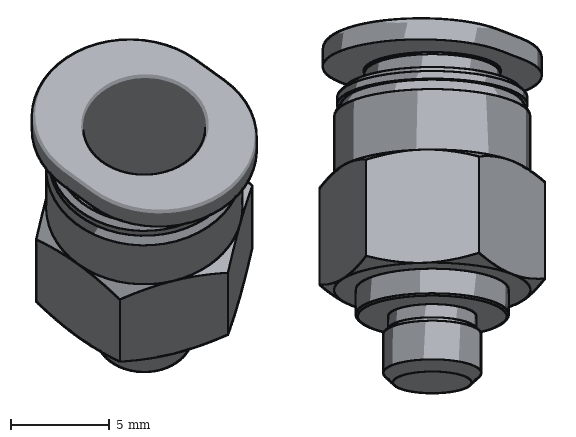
import cadquery as cq
import math

THREAD_TIP_CHAMFER = 0.5
THREAD_TOP = 2.8
COLLAR_BOTTOM = 3.5
HEX_BOTTOM = 4.9
HEX_HEIGHT = 6.0
HEX_TOP = HEX_BOTTOM + HEX_HEIGHT
BODY_TOP = 14.1
RING_BOTTOM = 14.7
RING_TOP = 15.4
FLANGE_BOTTOM = 16.5
FLANGE_THICKNESS = 1.2
TOTAL_HEIGHT = FLANGE_BOTTOM + FLANGE_THICKNESS

THREAD_RADIUS = 2.5
THREAD_NECK_RADIUS = 2.25
COLLAR_RADIUS = 3.9
BODY_RADIUS = 5.0
BODY_TAPER_RADIUS = 4.65
RING_RADIUS = 4.85
SLEEVE_RADIUS = 3.45

COLLAR_CHAMFER = 0.1
RING_CHAMFER = 0.3
SLEEVE_FLARE_HEIGHT = 0.1
SLEEVE_FLARE = 0.05
FLANGE_FILLET = 0.3

HEX_FLATS = 2 * BODY_RADIUS
HEX_CORNERS = HEX_FLATS / math.cos(math.radians(30))
HEX_CHAMFER_ANGLE = math.radians(30)

FLANGE_LENGTH = 12.0
FLANGE_WIDTH = 2 * BODY_RADIUS
BORE_RADIUS = 3.1
BORE_DEPTH = 9.8


def revolve_profile(points):
    """Revolve a closed (radius, height) outline about the Z axis."""
    return cq.Workplane("XZ").polyline(points).close().revolve(360, (0, 0), (0, 1))


def make_turned_body():
    """Threaded stud, collar, body, ring and sleeve as one revolved solid."""
    neck_step = THREAD_RADIUS - THREAD_NECK_RADIUS
    return revolve_profile([
        (0, 0),
        (THREAD_RADIUS - THREAD_TIP_CHAMFER, 0),
        (THREAD_RADIUS, THREAD_TIP_CHAMFER),
        (THREAD_RADIUS, THREAD_TOP - neck_step),
        (THREAD_NECK_RADIUS, THREAD_TOP),
        (THREAD_NECK_RADIUS, COLLAR_BOTTOM),
        (COLLAR_RADIUS - COLLAR_CHAMFER, COLLAR_BOTTOM),
        (COLLAR_RADIUS, COLLAR_BOTTOM + COLLAR_CHAMFER),
        (COLLAR_RADIUS, HEX_BOTTOM),
        (BODY_RADIUS, HEX_BOTTOM),
        (BODY_RADIUS, BODY_TOP),
        (BODY_TAPER_RADIUS, RING_BOTTOM),
        (RING_RADIUS, RING_BOTTOM),
        (RING_RADIUS, RING_TOP - RING_CHAMFER),
        (RING_RADIUS - RING_CHAMFER, RING_TOP),
        (SLEEVE_RADIUS, RING_TOP),
        (SLEEVE_RADIUS, FLANGE_BOTTOM - SLEEVE_FLARE_HEIGHT),
        (SLEEVE_RADIUS + SLEEVE_FLARE, FLANGE_BOTTOM),
        (0, FLANGE_BOTTOM),
    ])


def make_hexagon():
    """Hexagonal wrench section with conically chamfered corners at both ends."""
    corner_radius = HEX_CORNERS / 2
    chamfer_height = (corner_radius - BODY_RADIUS) * math.tan(HEX_CHAMFER_ANGLE)
    prism = cq.Workplane("XY", origin=(0, 0, HEX_BOTTOM)).polygon(6, HEX_CORNERS).extrude(HEX_HEIGHT)
    envelope = revolve_profile([
        (0, HEX_BOTTOM),
        (BODY_RADIUS, HEX_BOTTOM),
        (corner_radius, HEX_BOTTOM + chamfer_height),
        (corner_radius, HEX_TOP - chamfer_height),
        (BODY_RADIUS, HEX_TOP),
        (0, HEX_TOP),
    ])
    return prism.intersect(envelope)


def make_flange():
    """Obround release flange with a rounded upper rim."""
    return (
        cq.Workplane("XY", origin=(0, 0, FLANGE_BOTTOM))
        .slot2D(FLANGE_LENGTH, FLANGE_WIDTH)
        .extrude(FLANGE_THICKNESS)
        .faces(">Z")
        .edges()
        .fillet(FLANGE_FILLET)
    )


def cut_bore(part):
    """Blind tube bore from the top, with a rounded mouth."""
    bore = (
        cq.Workplane("XY", origin=(0, 0, TOTAL_HEIGHT))
        .circle(BORE_RADIUS)
        .extrude(-BORE_DEPTH)
    )
    bored = part.cut(bore)
    mouth = bored.faces(">Z").edges(cq.selectors.RadiusNthSelector(0))
    return mouth.fillet(FLANGE_FILLET)


result = cut_bore(make_turned_body().union(make_hexagon()).union(make_flange()))